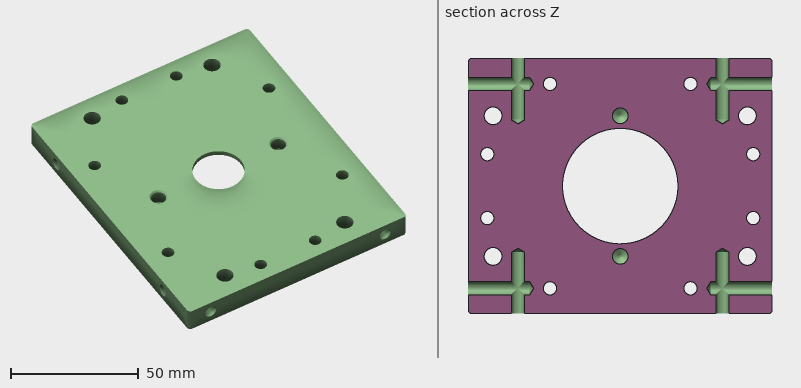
import cadquery as cq
import math

length = 119.0
width = 100.0
thickness = 10.0
corner_size = 1.0

bore_diameter = 20.5
recess_diameter = 45.0
lip_thickness = 2.0
small_hole_diameter = 5.0
large_hole_diameter = 6.8
end_hole_x = 52.0
end_hole_y = 12.5
long_side_hole_x = 27.5
long_side_hole_y = 40.0
large_hole_x = 49.7
large_hole_y = 27.5

drill_point_angle = 118.0
top_drill_diameter = 6.0
top_drill_chamfer = 0.6
top_drill_depth = 6.0
edge_drill_diameter = 5.0
edge_drill_depth = 24.0
edge_drill_offset = 40.0


def mirrored(x, y):
    """Four points placed symmetrically about the plate centre."""
    return [(sx * x, sy * y) for sx in (-1, 1) for sy in (-1, 1)]


def drill(start, direction, diameter, depth):
    """Blind hole with a conical bottom; depth is the straight part."""
    radius = diameter / 2
    tip_length = radius / math.tan(math.radians(drill_point_angle / 2))
    start = cq.Vector(*start)
    direction = cq.Vector(*direction)
    bore = cq.Solid.makeCylinder(radius, depth, start, direction)
    tip = cq.Solid.makeCone(radius, 0, tip_length, start + direction * depth, direction)
    return bore.fuse(tip)


result = (
    cq.Workplane("XY")
    .box(length, width, thickness, centered=(True, True, False))
    .edges("|Z")
    .chamfer(corner_size)
)

through_holes = [
    (bore_diameter, [(0, 0)]),
    (small_hole_diameter, mirrored(end_hole_x, end_hole_y)),
    (small_hole_diameter, mirrored(long_side_hole_x, long_side_hole_y)),
    (large_hole_diameter, mirrored(large_hole_x, large_hole_y)),
]
for diameter, points in through_holes:
    result = result.faces(">Z").workplane(origin=(0, 0, 0)).pushPoints(points).hole(diameter)

recess = cq.Workplane("XY").circle(recess_diameter / 2).extrude(thickness - lip_thickness)
result = result.cut(recess)

for side in (-1, 1):
    top_start = (0, side * large_hole_y, thickness)
    result = result.cut(drill(top_start, (0, 0, -1), top_drill_diameter, top_drill_depth))
    countersink = cq.Solid.makeCone(
        top_drill_diameter / 2 + top_drill_chamfer,
        top_drill_diameter / 2,
        top_drill_chamfer,
        cq.Vector(*top_start),
        cq.Vector(0, 0, -1),
    )
    result = result.cut(countersink)
    for position in (-edge_drill_offset, edge_drill_offset):
        long_start = (position, side * width / 2, thickness / 2)
        end_start = (side * length / 2, position, thickness / 2)
        result = result.cut(drill(long_start, (0, -side, 0), edge_drill_diameter, edge_drill_depth))
        result = result.cut(drill(end_start, (-side, 0, 0), edge_drill_diameter, edge_drill_depth))